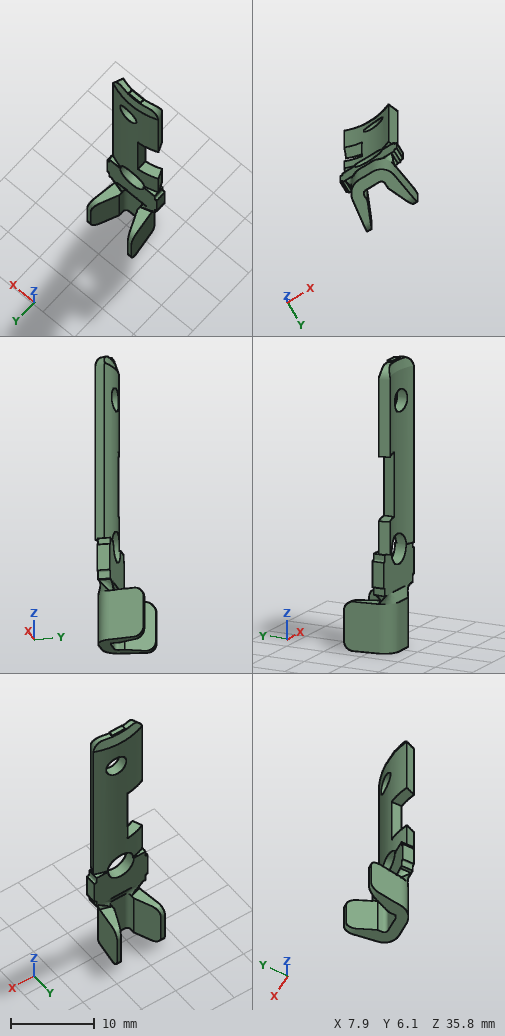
import cadquery as cq
import math

barrel_top = 6.12
flange_bottom = 7.4
blade_bottom = 12.5
bevel_start = 34.38
blade_top = 35.6
overall_height = 35.8

blade_half_width = 3.6
blade_inner_radius = 8.02
blade_outer_radius = 9.4
blade_back = 2.08
blade_axis_y = blade_back - blade_outer_radius
blade_half_angle = math.degrees(math.asin(blade_half_width / blade_outer_radius))
front_bevel = 0.2
back_bevel = 0.43
corner_radius = 1.5

nib_half_width = 0.93
nib_front = 0.93
nib_back = 1.58

notch_inner_x = -0.95
notch_bottom = 16.58
notch_top = 24.55
small_hole_x = 0.65
small_hole_z = 30.58
small_hole_diameter = 2.8
large_hole_z = 12.4
large_hole_diameter = 3.72

sheet = 1.5
flange_front = 0.55
flange_back = flange_front + sheet
flange_half_width = 3.6
lug_half_width = 3.95
lug_bottom = 8.4
lug_top = 11.65
lug_root = 0.2

floor_half_width = 0.93
bend_outer_radius = 2.0
bend_inner_radius = bend_outer_radius - sheet
ear_tilt = 8.0
ear_tip_y = 6.1
ear_tip_thickness = 0.6
ear_taper_y = 2.65
ear_corner_radius = 1.18

neck_half_width = 3.22
neck_flat_half_width = 1.47
neck_inner_half_width = 2.33
neck_inner_corner_y = 2.2


def bend_point(radius, degrees):
    """Point on the right-hand bend, with the angle counted from the floor."""
    angle = math.radians(degrees)
    return (
        floor_half_width + radius * math.sin(angle),
        bend_outer_radius - radius * math.cos(angle),
    )


bend_end_angle = 90 - ear_tilt
bend_end = bend_point(bend_outer_radius, bend_end_angle)
bend_middle = bend_point(bend_outer_radius, bend_end_angle / 2)
inner_bend_end = bend_point(bend_inner_radius, 90)
inner_bend_middle = bend_point(bend_inner_radius, 45)
ear_inner_corner = (inner_bend_end[0], ear_taper_y)
neck_inner_corner = (inner_bend_end[0], neck_inner_corner_y)
ear_tip_outer = (
    bend_end[0] + (ear_tip_y - bend_end[1]) * math.tan(math.radians(ear_tilt)),
    ear_tip_y,
)
ear_tip_inner = (ear_tip_outer[0] - ear_tip_thickness, ear_tip_y)


def mirrored(point):
    return (-point[0], point[1])


def box_between(x_range, y_range, z_range):
    size = [high - low for low, high in (x_range, y_range, z_range)]
    corner = (x_range[0], y_range[0], z_range[0])
    return cq.Workplane("XY").box(*size, centered=False).translate(corner)


def make_blade():
    wall = (
        cq.Workplane("XZ")
        .moveTo(blade_inner_radius, blade_bottom)
        .lineTo(blade_outer_radius, blade_bottom)
        .lineTo(blade_outer_radius, bevel_start)
        .lineTo(blade_outer_radius - back_bevel, blade_top)
        .lineTo(blade_inner_radius + front_bevel, blade_top)
        .lineTo(blade_inner_radius, bevel_start)
        .close()
        .revolve(360, (0, 0, 0), (0, 1, 0))
    )
    reach = 2 * blade_outer_radius
    reach_half_width = reach * math.tan(math.radians(blade_half_angle))
    wedge = (
        cq.Workplane("XY", origin=(0, 0, blade_bottom))
        .polyline([(0, 0), (reach_half_width, reach), (-reach_half_width, reach)])
        .close()
        .extrude(blade_top - blade_bottom)
    )
    apex = cq.Workplane("XY").box(reach, 1.5 * blade_inner_radius, 3 * overall_height)
    wedge = wedge.cut(apex)
    wedge = wedge.faces("<X or >X").edges(">Z").fillet(corner_radius)
    return wall.intersect(wedge).translate((0, blade_axis_y, 0))


def make_nib():
    return box_between(
        (-nib_half_width, nib_half_width), (nib_front, nib_back), (blade_top, overall_height)
    )


def make_flange():
    body = box_between(
        (-flange_half_width, flange_half_width),
        (flange_front, flange_back),
        (flange_bottom, blade_bottom),
    )
    lugs = box_between(
        (-lug_half_width, lug_half_width), (flange_front, flange_back), (lug_bottom, lug_top)
    )
    body = body.union(lugs)
    margin = lug_root / 2
    roots = cq.selectors.BoxSelector(
        (-flange_half_width - margin, flange_front - margin, lug_bottom - margin),
        (flange_half_width + margin, flange_back + margin, lug_top + margin),
    )
    return body.edges("|Y").edges(roots).fillet(lug_root)


def make_barrel():
    channel = (
        cq.Workplane("XY")
        .moveTo(-floor_half_width, 0)
        .lineTo(floor_half_width, 0)
        .threePointArc(bend_middle, bend_end)
        .lineTo(*ear_tip_outer)
        .lineTo(*ear_tip_inner)
        .lineTo(*ear_inner_corner)
        .lineTo(*inner_bend_end)
        .threePointArc(inner_bend_middle, (floor_half_width, sheet))
        .lineTo(-floor_half_width, sheet)
        .threePointArc(mirrored(inner_bend_middle), mirrored(inner_bend_end))
        .lineTo(*mirrored(ear_inner_corner))
        .lineTo(*mirrored(ear_tip_inner))
        .lineTo(*mirrored(ear_tip_outer))
        .lineTo(*mirrored(bend_end))
        .threePointArc(mirrored(bend_middle), (-floor_half_width, 0))
        .close()
        .extrude(barrel_top)
    )
    ear_outline = box_between(
        (-lug_half_width, lug_half_width), (0, ear_tip_y), (0, barrel_top)
    )
    ear_outline = ear_outline.faces(">Y").edges("|X").fillet(ear_corner_radius)
    return channel.intersect(ear_outline)


def make_neck():
    return (
        cq.Workplane("XY", origin=(0, 0, barrel_top))
        .moveTo(-floor_half_width, 0)
        .lineTo(floor_half_width, 0)
        .threePointArc(bend_middle, bend_end)
        .lineTo(*neck_inner_corner)
        .lineTo(*inner_bend_end)
        .threePointArc(inner_bend_middle, (floor_half_width, sheet))
        .lineTo(-floor_half_width, sheet)
        .threePointArc(mirrored(inner_bend_middle), mirrored(inner_bend_end))
        .lineTo(*mirrored(neck_inner_corner))
        .lineTo(*mirrored(bend_end))
        .threePointArc(mirrored(bend_middle), (-floor_half_width, 0))
        .close()
        .workplane(offset=flange_bottom - barrel_top)
        .moveTo(-neck_flat_half_width, flange_front)
        .lineTo(neck_flat_half_width, flange_front)
        .lineTo(neck_half_width, flange_front)
        .lineTo(neck_half_width, flange_back)
        .lineTo(neck_inner_half_width, flange_back)
        .lineTo(neck_flat_half_width, flange_back)
        .lineTo(-neck_flat_half_width, flange_back)
        .lineTo(-neck_inner_half_width, flange_back)
        .lineTo(-neck_half_width, flange_back)
        .lineTo(-neck_half_width, flange_front)
        .lineTo(-neck_flat_half_width, flange_front)
        .close()
        .loft(ruled=True)
    )


def make_hole(x, z, diameter):
    return (
        cq.Workplane("XZ", origin=(x, 0, z))
        .circle(diameter / 2)
        .extrude(ear_tip_y, both=True)
    )


def make_notch():
    return box_between(
        (-lug_half_width, notch_inner_x), (-ear_tip_y, ear_tip_y), (notch_bottom, notch_top)
    )


result = (
    make_blade()
    .union(make_nib())
    .union(make_flange())
    .union(make_neck())
    .union(make_barrel())
    .cut(make_notch())
    .cut(make_hole(small_hole_x, small_hole_z, small_hole_diameter))
    .cut(make_hole(0, large_hole_z, large_hole_diameter))
)